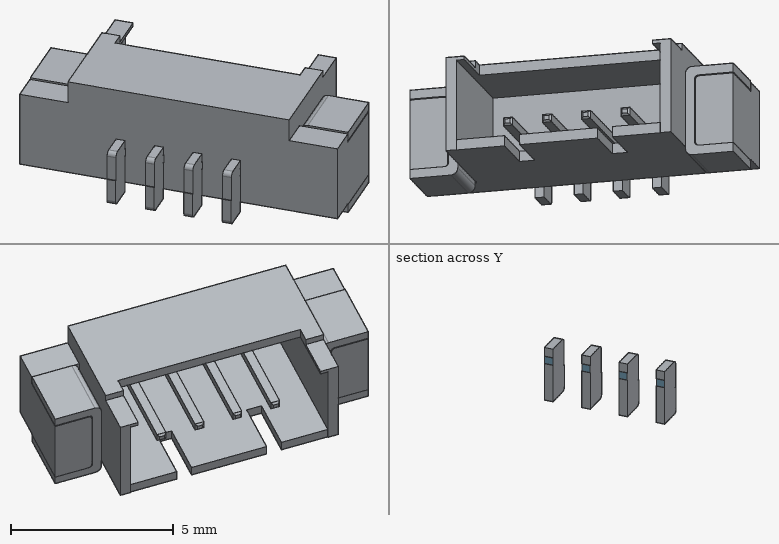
import cadquery as cq


TOTAL_WIDTH = 10.33
TOTAL_HEIGHT = 3.53
STANDOFF = 0.32
SHELL_WIDTH = 7.19
SHELL_DEPTH = 4.44
EAR_DEPTH = 2.95
EAR_TOP = 2.8
SIDE_WALL = 0.34
ROOF_THICKNESS = 0.33
FLOOR_THICKNESS = 0.33
BACK_WALL = 0.33
ROOF_NOTCH_WIDTH = 6.01
ROOF_DEPTH = 2.74
ARM_STEP_DEPTH = 3.2
ARM_STEP_DROP = 0.22
FLOOR_SETBACK = 0.02
FLOOR_SLOT_INNER = 1.24
FLOOR_SLOT_OUTER = 1.73

PIN_COUNT = 4
PIN_PITCH = 1.25
PIN_WIDTH = 0.29
NECK_BOTTOM = 1.26
NECK_HEIGHT = 0.26
CONTACT_REACH = 3.57
TIP_CHAMFER = 0.06
TAIL_GAP = 0.03
TAIL_HEIGHT = 1.82
TAIL_REACH = 0.91
TAIL_STEP = 0.03
TAIL_STEP_HEIGHT = 0.87
TAIL_TOP_RADIUS = 0.14
TAIL_BOTTOM_RADIUS = 0.12

CLIP_TOP = 2.84
CLIP_THICKNESS = 0.29
CLIP_INNER_X = 3.64
CLIP_FRONT = 1.0
CLIP_OUTER_RADIUS = 0.22
CLIP_INNER_RADIUS = 0.14
CLIP_CLEARANCE = 0.03

half_width = TOTAL_WIDTH / 2
half_shell = SHELL_WIDTH / 2
cavity_half_width = half_shell - SIDE_WALL
cavity_top = TOTAL_HEIGHT - ROOF_THICKNESS
floor_top = STANDOFF + FLOOR_THICKNESS
clip_web_outer_x = CLIP_INNER_X + CLIP_THICKNESS
pocket_front = CLIP_FRONT - CLIP_CLEARANCE


def block(x_range, y_range, z_range):
    """Box between the given limits on each axis."""
    size = [high - low for low, high in (x_range, y_range, z_range)]
    corner = (x_range[0], y_range[0], z_range[0])
    return cq.Workplane("XY").box(*size, centered=False).translate(corner)


def mirrored_pair(shape):
    """The +X shape together with its mirror image at -X."""
    return [shape, shape.mirror("YZ")]


def housing_shell():
    """Central block and ears, with the open cavity, roof notch, arm steps and floor slots."""
    shell = block((-half_shell, half_shell), (0, SHELL_DEPTH), (STANDOFF, TOTAL_HEIGHT))
    ears = block((-half_width, half_width), (0, EAR_DEPTH), (STANDOFF, EAR_TOP))
    cavity_span = (-cavity_half_width, cavity_half_width)
    cavity = block(cavity_span, (BACK_WALL, SHELL_DEPTH), (floor_top, cavity_top))
    half_notch = ROOF_NOTCH_WIDTH / 2
    roof_notch = block((-half_notch, half_notch), (ROOF_DEPTH, SHELL_DEPTH), (cavity_top, TOTAL_HEIGHT))
    arm_step = block(
        (-half_shell, half_shell),
        (ARM_STEP_DEPTH, SHELL_DEPTH),
        (TOTAL_HEIGHT - ARM_STEP_DROP, TOTAL_HEIGHT),
    )
    floor_edge = block(cavity_span, (SHELL_DEPTH - FLOOR_SETBACK, SHELL_DEPTH), (STANDOFF, floor_top))
    shell = shell.union(ears).cut(cavity).cut(roof_notch).cut(arm_step).cut(floor_edge)
    floor_slot = block(
        (FLOOR_SLOT_INNER, FLOOR_SLOT_OUTER), (ROOF_DEPTH, SHELL_DEPTH), (STANDOFF, floor_top)
    )
    for slot in mirrored_pair(floor_slot):
        shell = shell.cut(slot)
    return shell


def clip_pocket():
    """Space in the +X ear that takes the clip, open at the outer and mating sides."""
    return block((half_shell, half_width), (pocket_front, EAR_DEPTH), (STANDOFF, EAR_TOP))


def clip_core():
    """Tongue of the +X ear that the clip wraps around; it rests on the clip's lower leg."""
    core = block(
        (clip_web_outer_x + CLIP_CLEARANCE, half_width),
        (pocket_front, EAR_DEPTH),
        (CLIP_THICKNESS, CLIP_TOP - CLIP_THICKNESS - CLIP_CLEARANCE),
    )
    return core.edges("|Y and <X").fillet(CLIP_INNER_RADIUS - CLIP_CLEARANCE)


def make_pin():
    """Contact bar, its neck through the wall and the solder tail, centred on X = 0."""
    half_pin = PIN_WIDTH / 2
    contact = block(
        (-half_pin, half_pin), (-TAIL_GAP, CONTACT_REACH), (NECK_BOTTOM, NECK_BOTTOM + NECK_HEIGHT)
    )
    contact = contact.faces(">Y").chamfer(TIP_CHAMFER)
    tail = block((-half_pin, half_pin), (-TAIL_REACH, -TAIL_GAP), (0, TAIL_HEIGHT))
    setback = block(
        (-half_pin, half_pin), (-TAIL_REACH, TAIL_STEP - TAIL_REACH), (TAIL_STEP_HEIGHT, TAIL_HEIGHT)
    )
    tail = tail.cut(setback)
    tail = tail.faces(">Z").edges("<Y").fillet(TAIL_TOP_RADIUS)
    tail = tail.faces("<Z").edges("<Y").fillet(TAIL_BOTTOM_RADIUS)
    return contact.union(tail)


def make_housing():
    """Shell with clip pockets and the contacts moulded in as one solid."""
    body = housing_shell()
    for pocket in mirrored_pair(clip_pocket()):
        body = body.cut(pocket)
    for core in mirrored_pair(clip_core()):
        body = body.union(core)
    pin = make_pin()
    for index in range(PIN_COUNT):
        pin_x = (index - (PIN_COUNT - 1) / 2) * PIN_PITCH
        body = body.union(pin.translate((pin_x, 0, 0)))
    return body


def make_clip():
    """C-shaped solder clip of the +X ear, open towards the outside."""
    y_range = (CLIP_FRONT, EAR_DEPTH)
    clip = block((CLIP_INNER_X, half_width), y_range, (0, CLIP_TOP))
    clip = clip.edges("|Y and <X").fillet(CLIP_OUTER_RADIUS)
    opening = block(
        (clip_web_outer_x, half_width), y_range, (CLIP_THICKNESS, CLIP_TOP - CLIP_THICKNESS)
    )
    opening = opening.edges("|Y and <X").fillet(CLIP_INNER_RADIUS)
    return clip.cut(opening)


housing = make_housing()
clips = mirrored_pair(make_clip())

result = cq.Compound.makeCompound([housing.solids().val(), *[clip.solids().val() for clip in clips]])